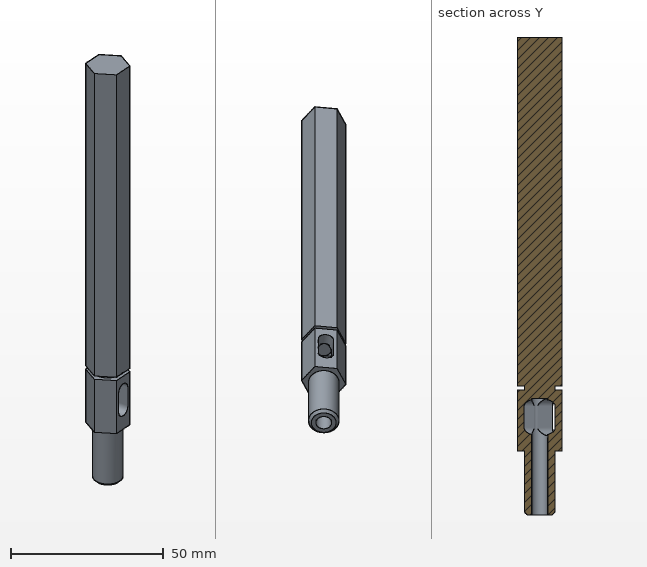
import cadquery as cq
import math

total_length = 156.3
across_flats = 12.7
across_corners = across_flats / math.cos(math.radians(30))
shank_diameter = 10.0
shank_length = 21.0
shank_chamfer = 1.0
collar_length = 20.0
groove_width = 1.3
groove_diameter = 10.0
slot_width = 5.0
slot_length = 12.0
slot_center_above_shank = 11.1
bore_diameter = 5.2
slot_direction = 30.0


def make_hexagonal_bar():
    """Hexagonal bar with corners on the X axis, from the shoulder to the top."""
    return (
        cq.Workplane("XY")
        .workplane(offset=shank_length)
        .polygon(6, across_corners)
        .extrude(total_length - shank_length)
    )


def make_shank():
    """Round shank below the hexagonal bar, chamfered at its free end."""
    return (
        cq.Workplane("XY")
        .circle(shank_diameter / 2)
        .extrude(shank_length)
        .faces("<Z")
        .chamfer(shank_chamfer)
    )


def make_groove():
    """Ring that turns the hexagon down to a round neck above the collar."""
    return (
        cq.Workplane("XY")
        .workplane(offset=shank_length + collar_length)
        .circle(across_corners)
        .circle(groove_diameter / 2)
        .extrude(groove_width)
    )


def make_cross_slot():
    """Upright round-ended slot passing through two opposite flats."""
    return (
        cq.Workplane("YZ")
        .center(0, shank_length + slot_center_above_shank)
        .slot2D(slot_length, slot_width, 90)
        .extrude(across_corners, both=True)
        .rotate((0, 0, 0), (0, 0, 1), slot_direction)
    )


def make_bore():
    """Blind axial bore from the shank end up to the top of the cross slot."""
    bore_depth = shank_length + slot_center_above_shank + slot_length / 2
    return cq.Workplane("XY").circle(bore_diameter / 2).extrude(bore_depth)


body = make_hexagonal_bar().union(make_shank())
result = body.cut(make_groove()).cut(make_cross_slot()).cut(make_bore())